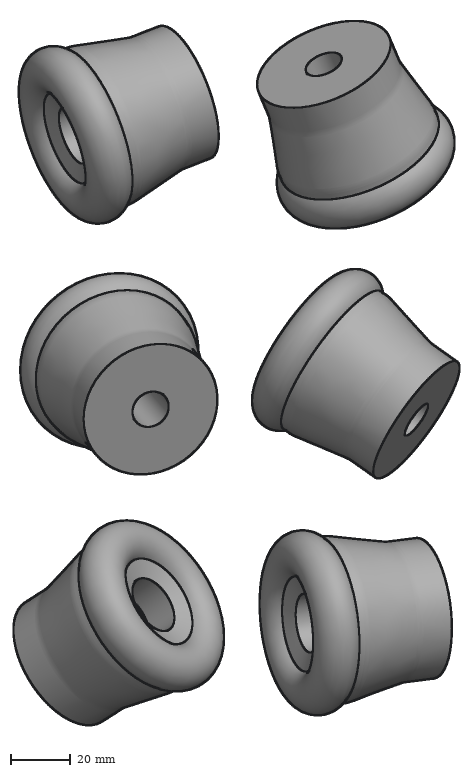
import cadquery as cq
import math

outer_radius = 31.5
length = 50.0

lip_radius = 8.0
lip_center_r = outer_radius - lip_radius

collar_radius = 28.55
neck_radius = 24.0
taper_start_y = 17.45
taper_end_y = 38.55
blend_radius = 10.0

mouth_radius = 16.25
counterbore_radius = 10.0
counterbore_start_y = 7.0
counterbore_floor_y = 19.0
hole_radius = 6.5

collar_start_y = lip_radius + math.sqrt(lip_radius**2 - (collar_radius - lip_center_r)**2)
mouth_y = lip_radius - math.sqrt(lip_radius**2 - (lip_center_r - mouth_radius)**2)

taper_angle = math.atan2(collar_radius - neck_radius, taper_end_y - taper_start_y)
blend_length = blend_radius * math.tan(taper_angle / 2)
blend_dr = blend_length * math.sin(taper_angle)
blend_dy = blend_length * math.cos(taper_angle)

profile = (
    cq.Workplane("XY")
    .moveTo(mouth_radius, mouth_y)
    .threePointArc((outer_radius, lip_radius), (collar_radius, collar_start_y))
    .lineTo(collar_radius, taper_start_y - blend_length)
    .tangentArcPoint((collar_radius - blend_dr, taper_start_y + blend_dy), relative=False)
    .lineTo(neck_radius + blend_dr, taper_end_y - blend_dy)
    .tangentArcPoint((neck_radius, taper_end_y + blend_length), relative=False)
    .lineTo(neck_radius, length)
    .lineTo(hole_radius, length)
    .lineTo(hole_radius, counterbore_floor_y)
    .lineTo(counterbore_radius, counterbore_floor_y)
    .lineTo(counterbore_radius, counterbore_start_y)
    .close()
)

result = profile.revolve(360, (0, 0), (0, 1))